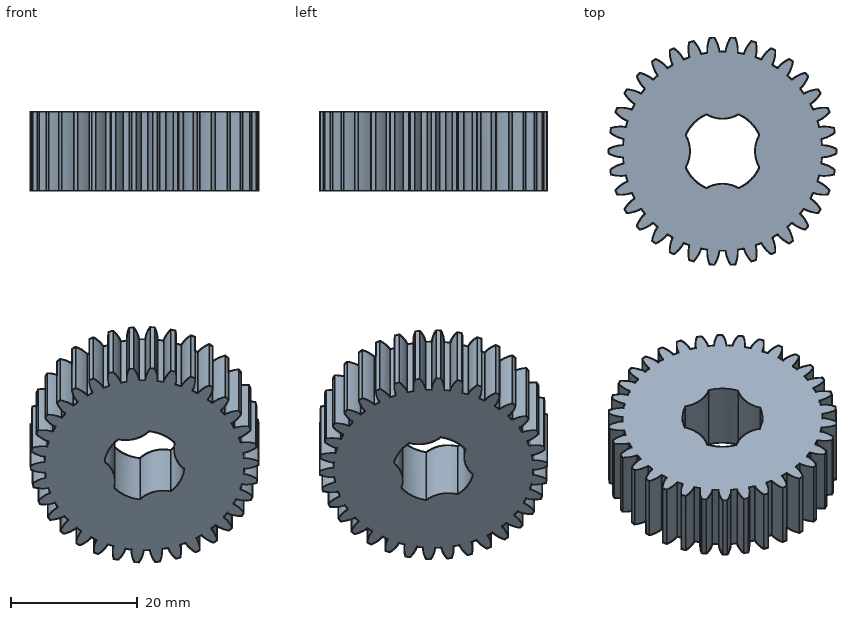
import cadquery as cq
import math

tooth_count = 34
outer_radius = 18.0
dedendum_in_modules = 1.25
pressure_angle = math.radians(20)
face_width = 12.5

bore_radius = 6.35
lobe_radius = 5.0
lobe_inner_reach = 5.1
lobe_count = 4

module = 2 * outer_radius / (tooth_count + 2)
pitch_radius = module * tooth_count / 2
root_radius = pitch_radius - dedendum_in_modules * module
base_radius = pitch_radius * math.cos(pressure_angle)
tooth_pitch_angle = 2 * math.pi / tooth_count


def involute_angle(radius):
    """Angle swept by the involute from the base circle out to the given radius."""
    roll_angle = math.acos(base_radius / radius)
    return math.tan(roll_angle) - roll_angle


base_half_angle = tooth_pitch_angle / 4 + involute_angle(pitch_radius)
tip_half_angle = base_half_angle - involute_angle(outer_radius)
flank_mid_radius = (base_radius + outer_radius) / 2
flank_mid_half_angle = base_half_angle - involute_angle(flank_mid_radius)


def polar(radius, angle):
    return (radius * math.cos(angle), radius * math.sin(angle))


def make_gear_blank():
    """Extruded gear outline, with one tooth centred on +X and radial flanks below the base circle."""
    outline = cq.Workplane("XY").moveTo(*polar(root_radius, -base_half_angle))
    for tooth in range(tooth_count):
        center = tooth * tooth_pitch_angle
        next_center = center + tooth_pitch_angle
        outline = (
            outline.lineTo(*polar(base_radius, center - base_half_angle))
            .threePointArc(
                polar(flank_mid_radius, center - flank_mid_half_angle),
                polar(outer_radius, center - tip_half_angle),
            )
            .threePointArc(
                polar(outer_radius, center),
                polar(outer_radius, center + tip_half_angle),
            )
            .threePointArc(
                polar(flank_mid_radius, center + flank_mid_half_angle),
                polar(base_radius, center + base_half_angle),
            )
            .lineTo(*polar(root_radius, center + base_half_angle))
            .threePointArc(
                polar(root_radius, center + tooth_pitch_angle / 2),
                polar(root_radius, next_center - base_half_angle),
            )
        )
    return outline.close().extrude(face_width)


def make_bore():
    """Round through bore, less the lobes on the X and Y axes."""
    lobe_center_distance = lobe_inner_reach + lobe_radius
    lobes = (
        cq.Workplane("XY")
        .polarArray(lobe_center_distance, 0, 360, lobe_count)
        .circle(lobe_radius)
        .extrude(face_width)
    )
    return cq.Workplane("XY").circle(bore_radius).extrude(face_width).cut(lobes)


result = make_gear_blank().cut(make_bore())